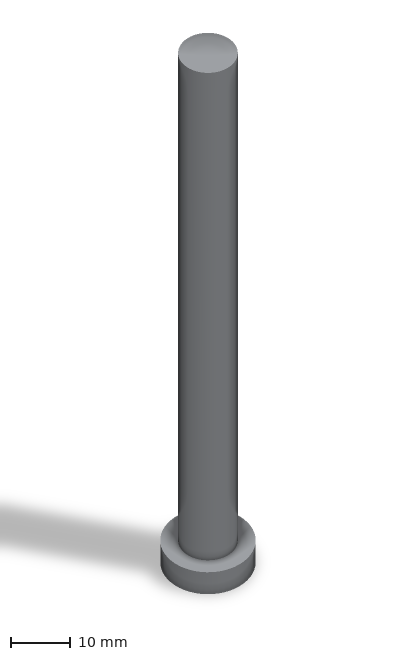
import cadquery as cq

total_length = 115.0
head_diameter = 16.0
head_height = 5.0
shank_diameter = 10.0

head = cq.Workplane("XY").circle(head_diameter / 2).extrude(head_height)
shank = cq.Workplane("XY").circle(shank_diameter / 2).extrude(total_length)

result = head.union(shank)